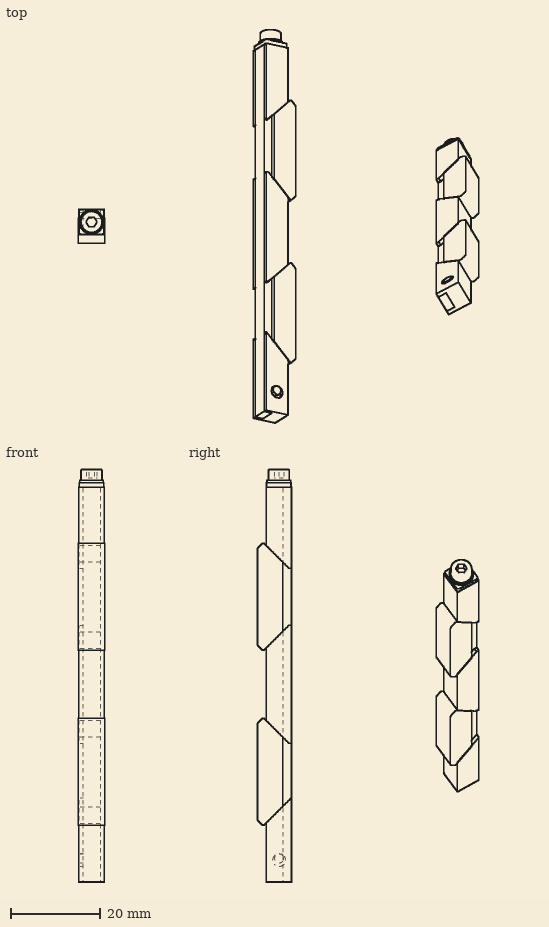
import cadquery as cq
import math


TOTAL_HEIGHT = 92.7

HEAD_HEIGHT = 2.4
HEAD_DIAMETER = 4.7
RIM_ROUNDING = 0.3
SOCKET_FLATS = 2.1
SOCKET_DEPTH = 1.85
WASHER_THICKNESS = 0.6
WASHER_DIAMETER = 5.4
PLATE_THICKNESS = 1.0
PLATE_SIDE = 5.6
PLATE_CORNER_RADIUS = 0.5

BLOCK_SIDE = 5.7
BLOCK_TIP_TRIM = 0.65

WEDGE_WIDTH = 6.0
WEDGE_LENGTH = 24.4
WEDGE_PITCH = 39.3
LOWER_WEDGE_START = 12.6
WEDGE_BACK_Y = 0.8
WEDGE_TIP_Y = -3.5
WEDGE_OVERHANG = 1.9
TIP_ROUNDING = 0.4
NOSE_ROUNDING = 0.7

SPINE_WIDTH = 3.9

RECESS_DIAMETER = 2.9
RECESS_DEPTH = 0.9
RECESS_HEIGHT = 5.0
PIN_DIAMETER = 2.0
PIN_OFFSET = 0.4

half_block = BLOCK_SIDE / 2
washer_base = TOTAL_HEIGHT - HEAD_HEIGHT - WASHER_THICKNESS
blocks_top = washer_base - PLATE_THICKNESS
wedge_front_y = -half_block - WEDGE_OVERHANG
spine_depth = half_block - WEDGE_BACK_Y
ramp_run = half_block - WEDGE_TIP_Y
front_step = -half_block - WEDGE_TIP_Y
lower_wedge = (LOWER_WEDGE_START, LOWER_WEDGE_START + WEDGE_LENGTH)
upper_wedge = tuple(z + WEDGE_PITCH for z in lower_wedge)


def extrude_profile(points, width):
    """Extrude a closed (y, z) outline symmetrically about x = 0."""
    return cq.Workplane("YZ").polyline(points).close().extrude(width / 2, both=True)


def make_wedge(bottom, top):
    """Sliding wedge: 45-degree ramps behind each tip and 45-degree bevels in front of it."""
    ramp = WEDGE_BACK_Y - WEDGE_TIP_Y
    bevel = WEDGE_TIP_Y - wedge_front_y
    wedge = extrude_profile(
        [
            (WEDGE_BACK_Y, bottom + ramp),
            (WEDGE_TIP_Y, bottom),
            (wedge_front_y, bottom + bevel),
            (wedge_front_y, top - bevel),
            (WEDGE_TIP_Y, top),
            (WEDGE_BACK_Y, top - ramp),
        ],
        WEDGE_WIDTH,
    )
    wedge = wedge.faces("<Y").edges("|X").fillet(NOSE_ROUNDING)
    for z in (bottom, top):
        tip = cq.selectors.NearestToPointSelector((0, WEDGE_TIP_Y, z))
        wedge = wedge.edges("|X").edges(tip).fillet(TIP_ROUNDING)
    return wedge


def make_spine():
    """Rectangular bar along the back of the blocks, behind the wedges."""
    return (
        cq.Workplane("XY")
        .center(0, half_block - spine_depth / 2)
        .rect(SPINE_WIDTH, spine_depth)
        .extrude(blocks_top)
    )


def rising_end(wedge_bottom, trim):
    """Top end of a block below a wedge, as (y, z) points from front to back."""
    tip_z = wedge_bottom + ramp_run
    points = [(-half_block, wedge_bottom + front_step), (half_block - trim, tip_z - trim)]
    if trim:
        points.append((half_block, tip_z - trim))
    return points


def falling_end(wedge_top, trim):
    """Bottom end of a block above a wedge, as (y, z) points from back to front."""
    tip_z = wedge_top - ramp_run
    return [
        (half_block, tip_z + trim),
        (half_block - trim, tip_z + trim),
        (-half_block, wedge_top - front_step),
    ]


def make_block(bottom_end, top_end):
    """Fixed block between two end outlines, with a channel in its back for the spine."""
    return extrude_profile(bottom_end + top_end, BLOCK_SIDE).cut(make_spine())


def recess_workplane(rise=0):
    """Workplane on the -X side of the lower block, pointing inward and centred on the recess."""
    return cq.Workplane("YZ", origin=(-half_block, 0, RECESS_HEIGHT + rise))


def make_lower_block():
    """Lowest block, square at its foot, with the round pin recess in its -X side."""
    foot = [(half_block, 0), (-half_block, 0)]
    block = make_block(foot, rising_end(lower_wedge[0], 0))
    return block.cut(recess_workplane().circle(RECESS_DIAMETER / 2).extrude(RECESS_DEPTH))


def make_middle_block():
    """Block between the two wedges, ramped at both ends with trimmed tips."""
    return make_block(
        falling_end(lower_wedge[1], BLOCK_TIP_TRIM),
        rising_end(upper_wedge[0], BLOCK_TIP_TRIM),
    )


def make_upper_block():
    """Topmost block, ramped below and flat on top to carry the plate."""
    flat_top = [(-half_block, blocks_top), (half_block, blocks_top)]
    return make_block(falling_end(upper_wedge[1], BLOCK_TIP_TRIM), flat_top)


def make_pin():
    """Pin standing on the recess floor, flush with the block side and raised off centre."""
    return recess_workplane(PIN_OFFSET).circle(PIN_DIAMETER / 2).extrude(RECESS_DEPTH)


def make_plate():
    """Square bearing plate with rounded corners on top of the upper block."""
    return (
        cq.Workplane("XY", origin=(0, 0, blocks_top))
        .rect(PLATE_SIDE, PLATE_SIDE)
        .extrude(PLATE_THICKNESS)
        .edges("|Z")
        .fillet(PLATE_CORNER_RADIUS)
    )


def make_washer():
    """Round washer between the plate and the screw head."""
    return (
        cq.Workplane("XY", origin=(0, 0, washer_base))
        .circle(WASHER_DIAMETER / 2)
        .extrude(WASHER_THICKNESS)
    )


def make_screw():
    """Cylindrical screw head with a rounded rim and a hexagonal socket."""
    head = (
        cq.Workplane("XY", origin=(0, 0, TOTAL_HEIGHT - HEAD_HEIGHT))
        .circle(HEAD_DIAMETER / 2)
        .extrude(HEAD_HEIGHT)
        .faces(">Z")
        .edges()
        .fillet(RIM_ROUNDING)
    )
    socket_corners = SOCKET_FLATS / math.cos(math.pi / 6)
    socket = (
        cq.Workplane("XY", origin=(0, 0, TOTAL_HEIGHT - SOCKET_DEPTH))
        .polygon(6, socket_corners)
        .extrude(SOCKET_DEPTH)
    )
    return head.cut(socket)


wedges = [make_wedge(bottom, top) for bottom, top in (lower_wedge, upper_wedge)]
blocks = [make_lower_block(), make_middle_block(), make_upper_block()]
spine = make_spine()
pin = make_pin()
plate = make_plate()
washer = make_washer()
screw = make_screw()

result = cq.Compound.makeCompound(
    [
        *(block.val() for block in blocks),
        *(wedge.val() for wedge in wedges),
        spine.val(),
        pin.val(),
        plate.val(),
        washer.val(),
        screw.val(),
    ]
)